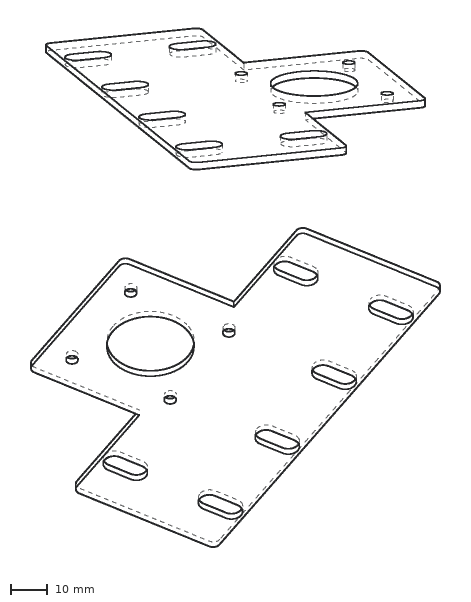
import cadquery as cq

base_width = 120.0
base_depth = 45.0
total_depth = 80.0
tab_width = 50.0
thickness = 2.0
corner_radius = 2.0

motor_center_y = 56.4
motor_bore_diameter = 23.6
screw_spacing = 31.0
screw_diameter = 3.2

slot_length = 13.0
slot_width = 6.0
slot_pitch = base_width / 4
outer_slot_x = 1.5 * slot_pitch
inner_slot_x = 0.5 * slot_pitch
front_slot_y = 7.5
rear_slot_y = front_slot_y + slot_pitch


def plate():
    """T-shaped plate with rounded outer corners and sharp inner corners."""
    base = (
        cq.Workplane("XY")
        .box(base_width, base_depth, thickness, centered=(True, False, False))
        .edges("|Z")
        .fillet(corner_radius)
    )
    tab = (
        cq.Workplane("XY")
        .box(tab_width, total_depth, thickness, centered=(True, False, False))
        .edges("|Z and >Y")
        .fillet(corner_radius)
    )
    return base.union(tab)


def motor_holes():
    """Cutters for the motor bore and its four screws."""
    mount = cq.Workplane("XY").center(0, motor_center_y)
    bore = mount.circle(motor_bore_diameter / 2).extrude(thickness)
    screws = (
        mount.rarray(screw_spacing, screw_spacing, 2, 2)
        .circle(screw_diameter / 2)
        .extrude(thickness)
    )
    return bore.union(screws)


def mounting_slots():
    """Cutters for four slots along the front and two at the rear."""
    centers = []
    for side in (-1, 1):
        centers.append((side * inner_slot_x, front_slot_y))
        centers.append((side * outer_slot_x, front_slot_y))
        centers.append((side * outer_slot_x, rear_slot_y))
    return (
        cq.Workplane("XY")
        .pushPoints(centers)
        .slot2D(slot_length, slot_width, 90)
        .extrude(thickness)
    )


result = plate().cut(motor_holes()).cut(mounting_slots())